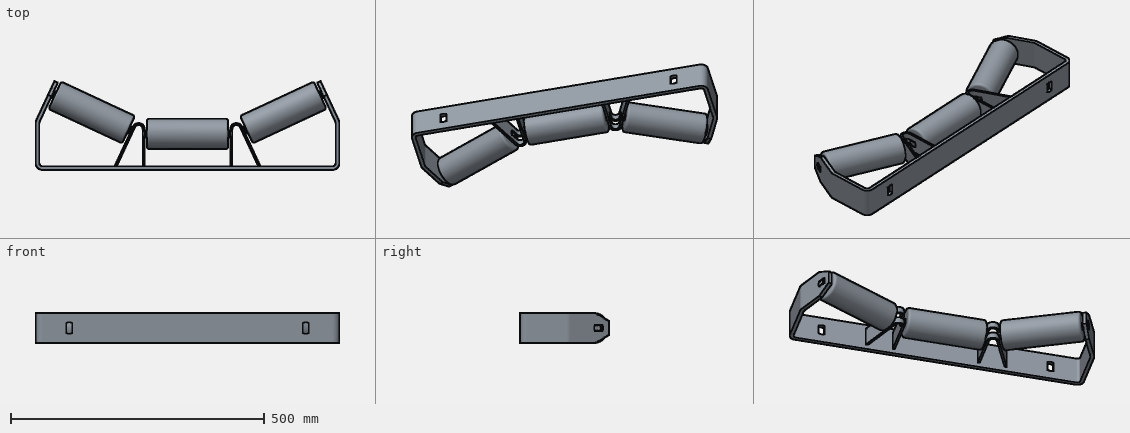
import cadquery as cq
import math

BRACKET_WIDTH = 60.0
TILT = 25.0
SIN = math.sin(math.radians(TILT))
COS = math.cos(math.radians(TILT))

LENGTH = 600.0
DEPTH = 176.0
STRIP = 8.0
CORNER_RADIUS = 14.0
BEND_RADIUS = 15.5
BEND_Y = 92.5
TAPER_LENGTH = 30.0
TIP_WIDTH = 28.0
MOUNT_SLOT_SPACING = 467.0
MOUNT_SLOT_LENGTH = 23.0
MOUNT_SLOT_WIDTH = 12.5

ROLLER_LENGTH = 161.0
ROLLER_DIAMETER = 60.0
ROLLER_FILLET = 5.0
SHAFT_DIAMETER = 14.5
SHAFT_FLATS = 10.0
ROUND_STUB = 3.0
END_GAP = 4.0
ARM_GAP = 5.0
MIDDLE_ROLLER_Y = 71.5
ARM_TIP_TO_AXIS = 25.0

SHAFT_SLOT_LENGTH = 20.0
SHAFT_SLOT_WIDTH = 12.5

SUPPORT_WIDTH = 39.5
SUPPORT_STRIP = 4.0
CREST_RADIUS = 12.0
CREST_Y = 93.0

UPRIGHT = (1.0, 0.0)
SLOPED = (COS, -SIN)


def up_direction(normal):
    """Direction that climbs along a strip with this normal."""
    return (-normal[1], normal[0])


def shifted(point, direction, distance):
    return (point[0] + direction[0] * distance, point[1] + direction[1] * distance)


def on_circle(center, radius, degrees):
    angle = math.radians(degrees)
    return (center[0] + radius * math.cos(angle), center[1] + radius * math.sin(angle))


UP_SLOPE = up_direction(SLOPED)

CORNER_CENTER = (-LENGTH / 2 + CORNER_RADIUS, CORNER_RADIUS)
BEND_CENTER = (-LENGTH / 2 + BEND_RADIUS, BEND_Y)
BEND_END = on_circle(BEND_CENTER, BEND_RADIUS, 180 - TILT)
ARM_TIP = shifted(BEND_END, UP_SLOPE, (DEPTH - BEND_END[1]) / COS)
ARM_AXIS_POINT = shifted(ARM_TIP, UP_SLOPE, -ARM_TIP_TO_AXIS)
TILTED_START = shifted(ARM_AXIS_POINT, SLOPED, STRIP + ARM_GAP)
TILTED_END = shifted(TILTED_START, SLOPED, ROLLER_LENGTH)

MIDDLE_START = (-ROLLER_LENGTH / 2, MIDDLE_ROLLER_Y)
LEG_FACE_X = MIDDLE_START[0] - END_GAP
CREST_CENTER = (LEG_FACE_X - CREST_RADIUS, CREST_Y - CREST_RADIUS)


def arc(outline, center, radius, start, end):
    middle = on_circle(center, radius, (start + end) / 2)
    return outline.threePointArc(middle, on_circle(center, radius, end))


def mirrored(body):
    return body.mirror("YZ")


def flatted_bar(plane, diameter, width, length):
    """Round bar with two flats, centred on the plane; the flats face the plane's local Y."""
    bar = cq.Workplane(plane).circle(diameter / 2).extrude(length / 2, both=True)
    flats = cq.Workplane(plane).rect(diameter, width).extrude(length / 2, both=True)
    return bar.intersect(flats)


def strip_plane(point, normal):
    """Plane on a strip: local X climbs along the strip and local Y is vertical."""
    climb = up_direction(normal)
    return cq.Plane(origin=(*point, 0), xDir=(*climb, 0), normal=(*normal, 0))


def shaft_slot(axis_point, normal, depth):
    """Cutter for a slot whose lower end carries a shaft centred at axis_point."""
    rise = (SHAFT_SLOT_LENGTH - SHAFT_DIAMETER) / 2
    center = shifted(axis_point, up_direction(normal), rise)
    return flatted_bar(strip_plane(center, normal), SHAFT_SLOT_LENGTH, SHAFT_SLOT_WIDTH, 2 * depth)


def half_strip():
    """Left half of the bent strip, up to the plane of symmetry."""
    outline = cq.Workplane("XY").lineTo(CORNER_CENTER[0], 0)
    outline = arc(outline, CORNER_CENTER, CORNER_RADIUS, 270, 180)
    outline = outline.lineTo(-LENGTH / 2, BEND_Y)
    outline = arc(outline, BEND_CENTER, BEND_RADIUS, 180, 180 - TILT)
    outline = outline.lineTo(*ARM_TIP)
    outline = outline.lineTo(*shifted(ARM_TIP, SLOPED, STRIP))
    outline = outline.lineTo(*shifted(BEND_END, SLOPED, STRIP))
    outline = arc(outline, BEND_CENTER, BEND_RADIUS - STRIP, 180 - TILT, 180)
    outline = outline.lineTo(-LENGTH / 2 + STRIP, CORNER_RADIUS)
    outline = arc(outline, CORNER_CENTER, CORNER_RADIUS - STRIP, 180, 270)
    outline = outline.lineTo(0, STRIP).close()
    return outline.extrude(BRACKET_WIDTH / 2, both=True)


def arm_taper():
    """Cutter for the two corners beside the arm tip."""
    upper = [(-TAPER_LENGTH, BRACKET_WIDTH / 2), (0, TIP_WIDTH / 2), (0, BRACKET_WIDTH / 2)]
    lower = [(x, -y) for x, y in upper]
    arm = cq.Workplane(strip_plane(ARM_TIP, SLOPED))
    corners = arm.polyline(upper).close().polyline(lower).close()
    return corners.extrude(2 * STRIP, both=True)


def mount_slot():
    plane = cq.Plane(origin=(-MOUNT_SLOT_SPACING / 2, 0, 0), xDir=(0, 0, 1), normal=(0, 1, 0))
    return flatted_bar(plane, MOUNT_SLOT_LENGTH, MOUNT_SLOT_WIDTH, 4 * STRIP)


def make_bracket():
    half = half_strip().cut(arm_taper()).cut(mount_slot())
    half = half.cut(shaft_slot(ARM_AXIS_POINT, SLOPED, 2 * STRIP))
    return half.union(mirrored(half)).clean()


def foot(point):
    """Where the slope through this point meets the bracket."""
    return shifted(point, UP_SLOPE, (STRIP - point[1]) / COS)


def open_slot(axis_point, normal):
    """Cutter for a shaft slot that runs on through the crest of a support."""
    round_end = shaft_slot(axis_point, normal, CREST_RADIUS)
    start = cq.Workplane(strip_plane(axis_point, normal))
    channel_length = 2 * CREST_Y - 2 * axis_point[1]
    channel = start.center(channel_length / 2, 0).rect(channel_length, SHAFT_SLOT_WIDTH)
    return round_end.union(channel.extrude(CREST_RADIUS, both=True))


def make_support():
    inner_radius = CREST_RADIUS - SUPPORT_STRIP
    slope_angle = 180 - TILT
    outline = cq.Workplane("XY").moveTo(LEG_FACE_X, STRIP).lineTo(LEG_FACE_X, CREST_CENTER[1])
    outline = arc(outline, CREST_CENTER, CREST_RADIUS, 0, slope_angle)
    outline = outline.lineTo(*foot(on_circle(CREST_CENTER, CREST_RADIUS, slope_angle)))
    outline = outline.lineTo(*foot(on_circle(CREST_CENTER, inner_radius, slope_angle)))
    outline = outline.lineTo(*on_circle(CREST_CENTER, inner_radius, slope_angle))
    outline = arc(outline, CREST_CENTER, inner_radius, slope_angle, 0)
    outline = outline.lineTo(LEG_FACE_X - SUPPORT_STRIP, STRIP).close()
    support = outline.extrude(SUPPORT_WIDTH / 2, both=True)

    support = support.cut(open_slot((LEG_FACE_X, MIDDLE_ROLLER_Y), UPRIGHT))
    return support.cut(open_slot(shifted(TILTED_END, SLOPED, END_GAP), SLOPED))


def make_roller(start_reach, end_reach):
    """Roller along +X from the origin; its shaft sticks out by the two reaches."""
    drum = cq.Workplane("YZ").circle(ROLLER_DIAMETER / 2).extrude(ROLLER_LENGTH)
    drum = drum.edges().fillet(ROLLER_FILLET)

    round_shaft = cq.Workplane("YZ").workplane(offset=-ROUND_STUB).circle(SHAFT_DIAMETER / 2)
    round_shaft = round_shaft.extrude(ROLLER_LENGTH + 2 * ROUND_STUB)

    middle = ((ROLLER_LENGTH + end_reach - start_reach) / 2, 0)
    flat_shaft = flatted_bar(
        strip_plane(middle, UPRIGHT),
        SHAFT_DIAMETER,
        SHAFT_FLATS,
        ROLLER_LENGTH + start_reach + end_reach,
    )
    return drum.union(round_shaft).union(flat_shaft)


SUPPORT_REACH = END_GAP + SUPPORT_STRIP
ARM_REACH = ARM_GAP + STRIP

bracket = make_bracket()

left_support = make_support()
supports = [left_support, mirrored(left_support)]

middle_roller = make_roller(SUPPORT_REACH, SUPPORT_REACH).translate((*MIDDLE_START, 0))

left_roller = make_roller(ARM_REACH, SUPPORT_REACH).rotate((0, 0, 0), (0, 0, 1), -TILT)
left_roller = left_roller.translate((*TILTED_START, 0))
rollers = [middle_roller, left_roller, mirrored(left_roller)]

result = cq.Compound.makeCompound([body.solids().val() for body in [bracket, *supports, *rollers]])